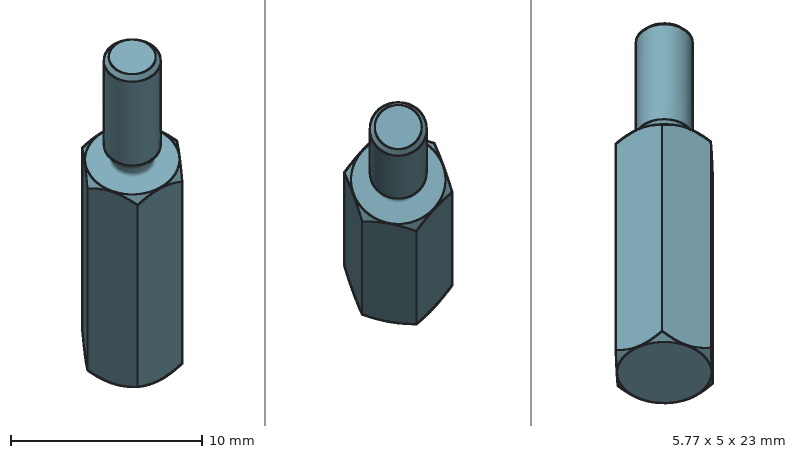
import cadquery as cq
import math

total_height = 23.0
body_height = 15.0
across_flats = 5.0
across_corners = across_flats / math.cos(math.radians(30))
end_face_diameter = 4.95

stud_radius = 3.0 / 2
tip_radius = 2.45 / 2
tip_bevel_height = 0.3
neck_radius = 2.2 / 2
neck_fillet = 0.2
undercut_height = 1.17
cone_half_angle = math.radians(30)


def make_body():
    """Hexagonal prism with a conical bevel on the corners at both ends."""
    prism = cq.Workplane("XY").polygon(6, across_corners).extrude(body_height)
    bevel = (across_corners - end_face_diameter) / 2
    envelope = (
        cq.Workplane("XY")
        .circle(across_corners / 2)
        .extrude(body_height)
        .faces("<Z or >Z")
        .chamfer(bevel)
    )
    return prism.intersect(envelope)


def make_stud():
    """Revolved stud: filleted neck, flaring cone, cylinder and beveled tip."""
    fillet_center_r = neck_radius + neck_fillet
    lower_center_z = body_height + neck_fillet
    diagonal = neck_fillet * math.sqrt(0.5)

    cone_start_r = fillet_center_r - neck_fillet * math.cos(cone_half_angle)
    cone_top_z = body_height + undercut_height
    cone_start_z = cone_top_z - (stud_radius - cone_start_r) / math.tan(cone_half_angle)
    upper_center_z = cone_start_z - neck_fillet * math.sin(cone_half_angle)
    upper_mid_r = fillet_center_r - neck_fillet * math.cos(cone_half_angle / 2)
    upper_mid_z = upper_center_z + neck_fillet * math.sin(cone_half_angle / 2)

    profile = (
        cq.Workplane("XZ")
        .moveTo(0, body_height)
        .lineTo(fillet_center_r, body_height)
        .threePointArc(
            (fillet_center_r - diagonal, lower_center_z - diagonal),
            (neck_radius, lower_center_z),
        )
        .lineTo(neck_radius, upper_center_z)
        .threePointArc((upper_mid_r, upper_mid_z), (cone_start_r, cone_start_z))
        .lineTo(stud_radius, cone_top_z)
        .lineTo(stud_radius, total_height - tip_bevel_height)
        .lineTo(tip_radius, total_height)
        .lineTo(0, total_height)
        .close()
    )
    return profile.revolve(360, (0, 0, 0), (0, 1, 0))


result = make_body().union(make_stud())